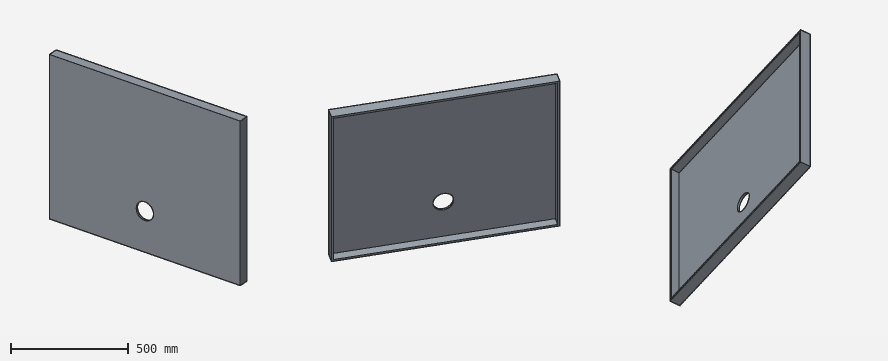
import cadquery as cq

width = 1000
depth = 50
height = 800
wall = 10

hole_diameter = 90
hole_height = height / 4

tray = cq.Workplane("XY").box(width, depth, height).faces(">Y").shell(-wall)

result = (
    tray.faces("<Y")
    .workplane(centerOption="CenterOfBoundBox")
    .center(0, hole_height - height / 2)
    .hole(hole_diameter)
)